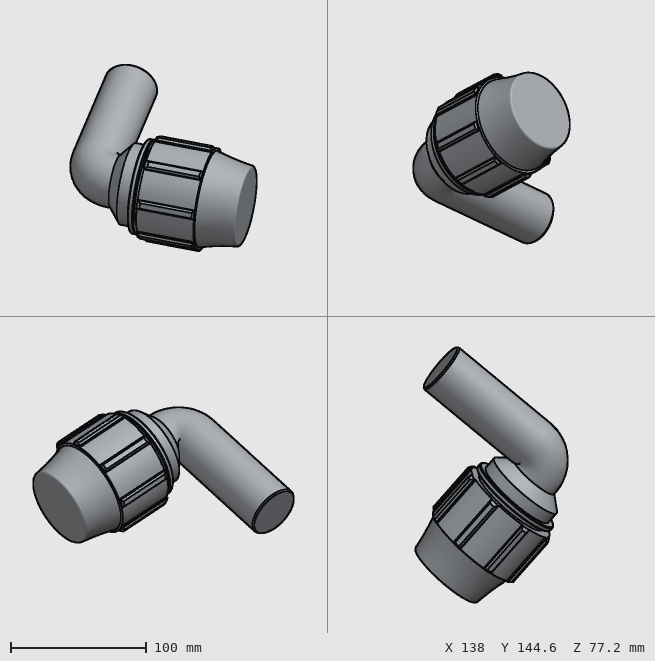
import cadquery as cq
import math

pipe_diameter = 40.0
pipe_radius = pipe_diameter / 2
pipe_end_y = 106.0
pipe_chamfer_length = 1.3
pipe_chamfer_depth = 0.9

bend_radius = 16.3

cone_start_x = 18.4
cone_end_x = 27.6
flange_start_x = 37.2
flange_end_x = 41.3
nut_start_x = 44.7
nut_end_x = 88.3
taper_start_x = 88.9
overall_length_x = 138.0
body_end_x = overall_length_x - pipe_radius

body_radius = 61.5 / 2
flange_radius = 71.3 / 2
flange_chamfer = 0.7
nut_radius = 38.0
taper_large_radius = 36.3
taper_small_radius = 30.5
taper_sag = 0.6
end_rounding = 1.6

rib_count = 8
rib_first_angle = 360 / rib_count / 2
rib_base_radius = 37.3
rib_top_radius = 40.9
rib_shoulder_radius = 39.2
rib_base_width = 7.0
overall_half_height = 38.6
rib_top_width = 2 * (
    overall_half_height - rib_top_radius * math.cos(math.radians(rib_first_angle))
) / math.sin(math.radians(rib_first_angle))
rib_front_ramp = 2.7
rib_rear_ramp = 1.3


def make_pipe():
    """Plain spigot with a bevelled free end."""
    return (
        cq.Workplane("XY")
        .moveTo(0, bend_radius)
        .lineTo(pipe_radius, bend_radius)
        .lineTo(pipe_radius, pipe_end_y - pipe_chamfer_length)
        .lineTo(pipe_radius - pipe_chamfer_depth, pipe_end_y)
        .lineTo(0, pipe_end_y)
        .close()
        .revolve(360, (0, 0, 0), (0, 1, 0))
    )


def make_elbow():
    """Quarter-turn bend, tighter than the pipe radius, so its section stops at the bend axis."""
    section_half_height = math.sqrt(pipe_radius**2 - bend_radius**2)
    return (
        cq.Workplane("XZ", origin=(0, bend_radius, 0))
        .moveTo(bend_radius, -section_half_height)
        .threePointArc((-pipe_radius, 0), (bend_radius, section_half_height))
        .close()
        .revolve(90, (bend_radius, 0, 0), (bend_radius, 1, 0))
    )


def make_body():
    """Turned neck, cone and barrel, with the nut and its tapered nose."""
    nose_x = body_end_x - end_rounding
    taper_middle = (
        (taper_start_x + nose_x) / 2,
        (taper_large_radius + taper_small_radius) / 2 - taper_sag,
    )
    return (
        cq.Workplane("XY")
        .moveTo(bend_radius, 0)
        .lineTo(bend_radius, pipe_radius)
        .lineTo(cone_start_x, pipe_radius)
        .lineTo(cone_end_x, body_radius)
        .lineTo(nut_start_x, body_radius)
        .lineTo(nut_start_x, nut_radius)
        .lineTo(nut_end_x, nut_radius)
        .lineTo(taper_start_x, taper_large_radius)
        .threePointArc(taper_middle, (nose_x, taper_small_radius))
        .radiusArc((body_end_x, taper_small_radius - end_rounding), end_rounding)
        .lineTo(body_end_x, 0)
        .close()
        .revolve(360, (0, 0, 0), (1, 0, 0))
    )


def make_flange():
    """Thin collar in front of the nut, with both rims bevelled."""
    return (
        cq.Workplane("YZ", origin=(flange_start_x, 0, 0))
        .circle(flange_radius)
        .extrude(flange_end_x - flange_start_x)
        .edges()
        .chamfer(flange_chamfer)
    )


def make_rib():
    """Grip rib on the +Z side: upright walls, then sloped sides and end ramps up to a flat top."""
    base_length = nut_end_x - nut_start_x
    top_length = base_length - rib_front_ramp - rib_rear_ramp
    base_middle_x = (nut_start_x + nut_end_x) / 2
    top_shift = (rib_front_ramp - rib_rear_ramp) / 2
    return (
        cq.Workplane("XY", origin=(base_middle_x, 0, rib_base_radius))
        .rect(base_length, rib_base_width)
        .extrude(rib_shoulder_radius - rib_base_radius)
        .faces(">Z")
        .workplane()
        .rect(base_length, rib_base_width)
        .workplane(offset=rib_top_radius - rib_shoulder_radius)
        .center(top_shift, 0)
        .rect(top_length, rib_top_width)
        .loft(ruled=True)
    )


result = make_body().union(make_flange()).union(make_elbow()).union(make_pipe())

rib = make_rib()
for index in range(rib_count):
    angle = rib_first_angle + index * 360 / rib_count
    result = result.union(rib.rotate((0, 0, 0), (1, 0, 0), angle))